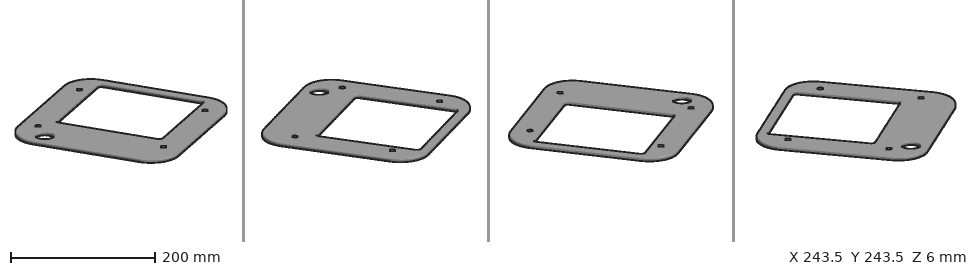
import cadquery as cq

plate_side = 243.5
plate_thickness = 6.0
plate_corner_radius = 41.5
edge_round = 3.0

window_width = 159.5
window_height = 152.5
window_center_y = 31.5
window_corner_radius = 5.0

mount_hole_diameter = 7.8
mount_pitch_x = 190.0
mount_pitch_y = 144.0
mount_center_y = 2.0

round_hole_diameter = 25.0
round_hole_center = (-73.5, -96.35)


def rounded_block(width, height, corner_radius):
    """Block of the plate's thickness with rounded vertical edges, centred in X and Y."""
    block = cq.Workplane("XY").rect(width, height).extrude(plate_thickness)
    return block.edges("|Z").fillet(corner_radius)


def make_plate():
    """Plate with the window and the large round hole, all their top edges rounded."""
    plate = rounded_block(plate_side, plate_side, plate_corner_radius)
    window = rounded_block(window_width, window_height, window_corner_radius)
    round_hole = (
        cq.Workplane("XY")
        .center(*round_hole_center)
        .circle(round_hole_diameter / 2)
        .extrude(plate_thickness)
    )
    plate = plate.cut(window.translate((0, window_center_y, 0))).cut(round_hole)
    return plate.faces(">Z").edges().fillet(edge_round)


def drill_mount_holes(plate):
    """Drill the four plain mounting holes through the plate."""
    holes = (
        cq.Workplane("XY")
        .center(0, mount_center_y)
        .rect(mount_pitch_x, mount_pitch_y, forConstruction=True)
        .vertices()
        .circle(mount_hole_diameter / 2)
        .extrude(plate_thickness)
    )
    return plate.cut(holes)


result = drill_mount_holes(make_plate())